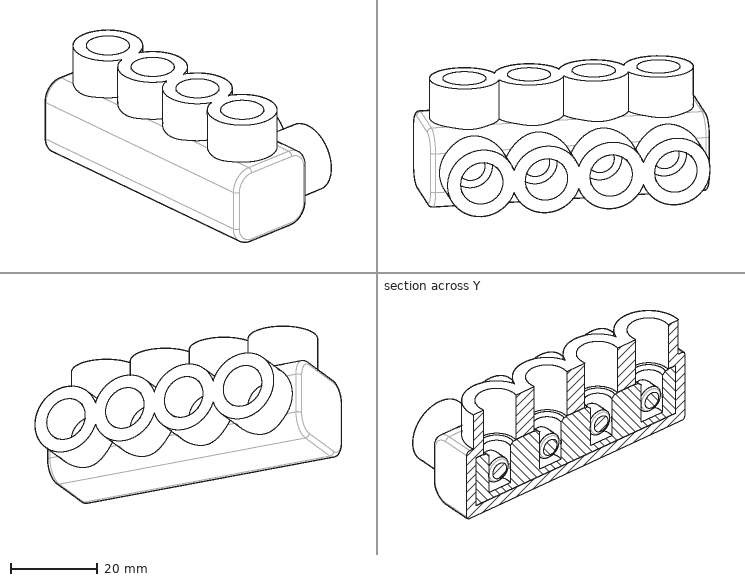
import cadquery as cq

HOUSING_LENGTH = 65.8
HOUSING_DEPTH = 22.25
HOUSING_HEIGHT = 19.0
LONG_EDGE_RADIUS = 4.8
END_EDGE_RADIUS = 1.0

PORT_COUNT = 4
PORT_PITCH = 15.25
PORT_RADIUS = 8.1
PORT_BORE_RADIUS = 5.0
PORT_PROJECTION = 9.55
PORT_XS = [(i - (PORT_COUNT - 1) / 2) * PORT_PITCH for i in range(PORT_COUNT)]
PORT_TOP_Z = HOUSING_HEIGHT / 2 + PORT_PROJECTION
PORT_BACK_Y = HOUSING_DEPTH / 2 + PORT_PROJECTION

WALL = 2.95
BLOCK_LENGTH = HOUSING_LENGTH - 2 * WALL
BLOCK_DEPTH = HOUSING_DEPTH - 2 * WALL
BLOCK_HEIGHT = HOUSING_HEIGHT - 2 * WALL
BLOCK_TOP_Z = BLOCK_HEIGHT / 2
BLOCK_BACK_Y = BLOCK_DEPTH / 2

WIRE_HOLE_RADIUS = 3.35
WIRE_FUNNEL_RADIUS = 4.2
WIRE_FUNNEL_DEPTH = WIRE_FUNNEL_RADIUS - WIRE_HOLE_RADIUS
WIRE_HOLE_FLOOR_Z = -4.6

SCREW_RADIUS = 3.2
SCREW_SHANK_END_Y = -0.4
SCREW_CHAMFER = 0.4
DOME_HEIGHT = 0.8
DOME_BASE_Y = SCREW_SHANK_END_Y - SCREW_CHAMFER
DOME_BASE_RADIUS = SCREW_RADIUS - SCREW_CHAMFER
DOME_RADIUS = (DOME_BASE_RADIUS**2 + DOME_HEIGHT**2) / (2 * DOME_HEIGHT)
SCREW_TIP_Y = DOME_BASE_Y - DOME_HEIGHT


def vertical_cylinder(x, radius, bottom_z, top_z):
    """Cylinder along Z on the axis of the top port at x."""
    return cq.Workplane("XY", origin=(x, 0, bottom_z)).circle(radius).extrude(top_z - bottom_z)


def horizontal_cylinder(x, radius, front_y, back_y):
    """Cylinder along Y on the axis of the back port at x."""
    return cq.Workplane("XZ", origin=(x, back_y, 0)).circle(radius).extrude(back_y - front_y)


def block_envelope():
    """Plain box of the conductor block, also the cavity that holds it."""
    return cq.Workplane("XY").box(BLOCK_LENGTH, BLOCK_DEPTH, BLOCK_HEIGHT)


def make_housing():
    """Rounded bar with two rows of tubular ports that open onto the block."""
    housing = cq.Workplane("XY").box(HOUSING_LENGTH, HOUSING_DEPTH, HOUSING_HEIGHT)
    housing = housing.edges("|X").fillet(LONG_EDGE_RADIUS)
    housing = housing.faces("<X or >X").edges().fillet(END_EDGE_RADIUS)
    for x in PORT_XS:
        housing = housing.union(vertical_cylinder(x, PORT_RADIUS, 0, PORT_TOP_Z))
        housing = housing.union(horizontal_cylinder(x, PORT_RADIUS, 0, PORT_BACK_Y))
    housing = housing.cut(block_envelope())
    for x in PORT_XS:
        housing = housing.cut(vertical_cylinder(x, PORT_BORE_RADIUS, BLOCK_TOP_Z, PORT_TOP_Z))
        housing = housing.cut(horizontal_cylinder(x, PORT_BORE_RADIUS, BLOCK_BACK_Y, PORT_BACK_Y))
    return housing


def make_wire_hole(x):
    """Cutter for one blind wire hole with its 45 degree funnel mouth."""
    profile = (
        cq.Workplane("XZ")
        .moveTo(0, WIRE_HOLE_FLOOR_Z)
        .lineTo(WIRE_HOLE_RADIUS, WIRE_HOLE_FLOOR_Z)
        .lineTo(WIRE_HOLE_RADIUS, BLOCK_TOP_Z - WIRE_FUNNEL_DEPTH)
        .lineTo(WIRE_FUNNEL_RADIUS, BLOCK_TOP_Z)
        .lineTo(0, BLOCK_TOP_Z)
        .close()
    )
    hole = profile.revolve(360, (0, 0, 0), (0, 1, 0))
    return hole.translate((x, 0, 0))


def make_block():
    """Conductor block with a wire hole and a crossing screw hole at each port."""
    block = block_envelope()
    for x in PORT_XS:
        block = block.cut(make_wire_hole(x))
        block = block.cut(horizontal_cylinder(x, SCREW_RADIUS, SCREW_TIP_Y, BLOCK_BACK_Y))
    return block


def make_screw(x):
    """Headless screw along Y, flush with the back of the block, with a chamfered, domed tip."""
    profile = (
        cq.Workplane("XY")
        .moveTo(0, BLOCK_BACK_Y)
        .lineTo(SCREW_RADIUS, BLOCK_BACK_Y)
        .lineTo(SCREW_RADIUS, SCREW_SHANK_END_Y)
        .lineTo(DOME_BASE_RADIUS, DOME_BASE_Y)
        .radiusArc((0, SCREW_TIP_Y), DOME_RADIUS)
        .close()
    )
    screw = profile.revolve(360, (0, 0, 0), (0, 1, 0))
    return screw.translate((x, 0, 0))


housing = make_housing().solids()
block = make_block().solids()
screws = [make_screw(x).val() for x in PORT_XS]

result = cq.Compound.makeCompound([housing.val(), block.val(), *screws])